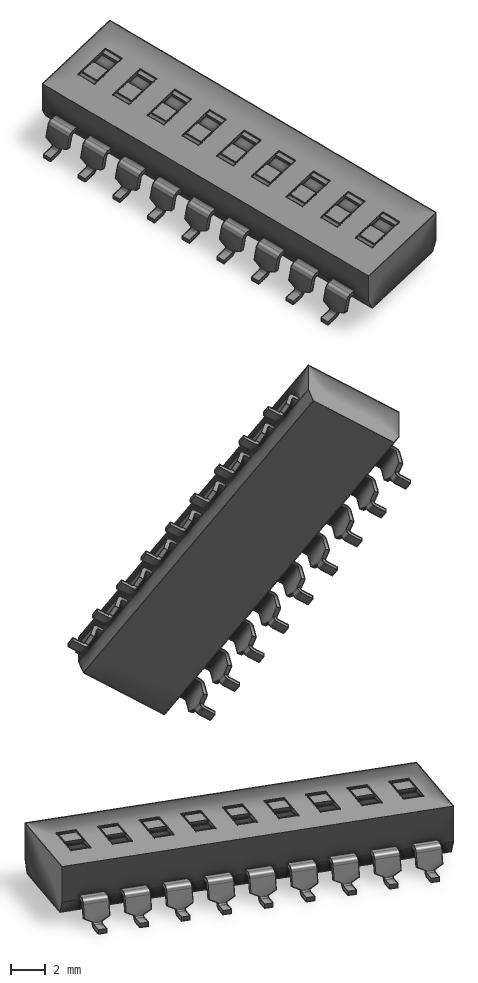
import cadquery as cq
import math


body_length = 23.9
body_width = 6.25
body_bottom_z = 0.7
body_top_z = 3.75
taper_start_z = 1.5
taper_inset = 0.34

position_count = 9
pitch = 2.54
row_offset = -0.04

window_width = 1.22
window_length = 2.55
ledge_length = 0.31
ledge_depth = 0.1
well_depth = 0.3
slider_width = 1.1
slider_front_y = 0.05

overall_width = 9.8
lead_thickness = 0.27
lead_top_z = 1.77
lead_width = 1.55
foot_width = 0.52
lead_embed = 0.3
knee_reach = 0.53
leg_angle = 13.0
bend_outer_radius = 0.37
bend_inner_radius = bend_outer_radius - lead_thickness
leg_taper_start_z = 0.64
leg_taper_end_z = 0.38
cutter_size = 3.0

position_xs = [(i - (position_count - 1) / 2) * pitch + row_offset for i in range(position_count)]


def make_body():
    side = body_width / 2
    bottom_side = side - taper_inset
    return (
        cq.Workplane("YZ")
        .moveTo(-bottom_side, body_bottom_z)
        .lineTo(bottom_side, body_bottom_z)
        .lineTo(side, taper_start_z)
        .lineTo(side, body_top_z)
        .lineTo(-side, body_top_z)
        .lineTo(-side, taper_start_z)
        .close()
        .extrude(body_length / 2, both=True)
    )


def make_box(width, y_min, y_max, z_min, z_max):
    """Box centred on X = 0."""
    return (
        cq.Workplane("XY")
        .box(width, y_max - y_min, z_max - z_min, centered=(True, False, False))
        .translate((0, y_min, z_min))
    )


def make_window():
    """Recess for one switch: shallow ledges, a deeper open well and a slider flush with the top."""
    window_end = window_length / 2
    well_end = window_end - ledge_length
    ledge_z = body_top_z - ledge_depth
    well_z = body_top_z - well_depth
    shallow = make_box(window_width, -window_end, window_end, ledge_z, body_top_z)
    well = make_box(window_width, slider_front_y, well_end, well_z, body_top_z)
    slider = make_box(slider_width, -well_end, slider_front_y, ledge_z, body_top_z)
    return shallow.union(well).cut(slider)


def make_lead_strip():
    """Full-width bent strip leaving the +Y side of the body, centred on X = 0."""
    side = body_width / 2
    half = lead_thickness / 2
    lean = math.radians(leg_angle)
    mitre = half * math.tan((math.pi / 2 - lean) / 2)
    knee_y = side + knee_reach
    foot_y = knee_y + (lead_top_z - lead_thickness) * math.tan(lean)
    root_y = side - lead_embed
    tip_y = overall_width / 2
    knee_outer = (knee_y + mitre, lead_top_z)
    knee_inner = (knee_y - mitre, lead_top_z - lead_thickness)
    foot_inner = (foot_y + mitre, lead_thickness)
    foot_outer = (foot_y - mitre, 0)
    outline = [
        (root_y, lead_top_z),
        knee_outer,
        foot_inner,
        (tip_y, lead_thickness),
        (tip_y, 0),
        foot_outer,
        knee_inner,
        (root_y, lead_top_z - lead_thickness),
    ]
    strip = cq.Workplane("YZ").polyline(outline).close().extrude(lead_width / 2, both=True)
    bends = [
        (knee_outer, bend_outer_radius),
        (knee_inner, bend_inner_radius),
        (foot_inner, bend_inner_radius),
        (foot_outer, bend_outer_radius),
    ]
    for (y, z), radius in bends:
        strip = strip.edges(cq.selectors.NearestToPointSelector((0, y, z))).fillet(radius)
    return strip, foot_inner


def make_lead():
    """Lead on the +Y side, narrowed to a slim foot by cuts square to the leaning leg."""
    lead, foot_inner = make_lead_strip()
    lean = math.radians(leg_angle)
    leg_plane = cq.Plane(
        origin=(0, *foot_inner), xDir=(-1, 0, 0), normal=(0, math.cos(lean), math.sin(lean))
    )
    taper_start = (leg_taper_start_z - foot_inner[1]) / math.cos(lean)
    taper_end = (leg_taper_end_z - foot_inner[1]) / math.cos(lean)
    for direction in (-1, 1):
        cutter = (
            cq.Workplane(leg_plane)
            .moveTo(direction * lead_width / 2, taper_start)
            .lineTo(direction * foot_width / 2, taper_end)
            .lineTo(direction * foot_width / 2, -cutter_size)
            .lineTo(direction * cutter_size, -cutter_size)
            .lineTo(direction * cutter_size, taper_start)
            .close()
            .extrude(cutter_size, both=True)
        )
        lead = lead.cut(cutter)
    return lead


result = make_body()
window = make_window()
back_lead = make_lead()
front_lead = back_lead.mirror("XZ")
for x in position_xs:
    result = result.cut(window.translate((x, 0, 0)))
    result = result.union(back_lead.translate((x, 0, 0)))
    result = result.union(front_lead.translate((x, 0, 0)))